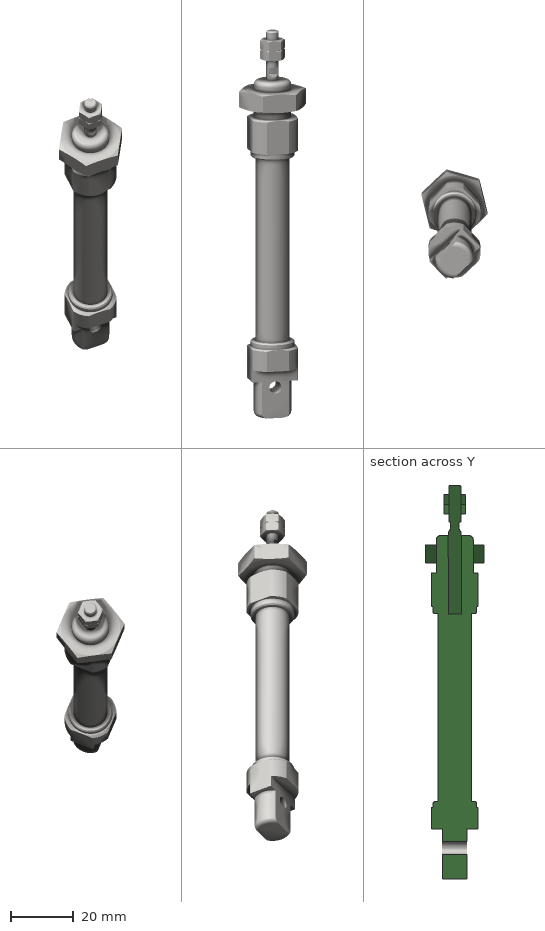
import cadquery as cq
import math


TIP_Z = 126.0
COLLAR_TOP_Z = 110.0
FRONT_CAP_TOP_Z = 98.0
FRONT_CAP_BOTTOM_Z = 87.1
FRONT_RIM_BOTTOM_Z = 84.9
REAR_RIM_TOP_Z = 24.9
REAR_CAP_TOP_Z = 23.0
REAR_CAP_BOTTOM_Z = 16.0
SHOULDER_BOTTOM_Z = 12.0
EYE_Z = 10.0

TUBE_DIAMETER = 11.0
CAP_WIDTH = 15.0
CAP_DIAMETER = 16.7
CAP_CHAMFER_ANGLE = 25.0
RIM_DIAMETER = 14.0
RIM_CHAMFER = 0.4
COLLAR_DIAMETER = 12.0
END_ROUNDING = 1.5
TAIL_THICKNESS = 8.0
EYE_DIAMETER = 4.0

ROD_DIAMETER = 4.0
ROD_TIP_DIAMETER = 3.24
WRENCH_WIDTH = 2.8
WRENCH_TOP_Z = 114.2
WRENCH_FLAT_BOTTOM_Z = 112.1
WRENCH_SLOPE_ANGLE = 60.0

MOUNTING_NUT_WIDTH = 19.0
MOUNTING_NUT_HEIGHT = 6.0
MOUNTING_NUT_BOTTOM_Z = 101.0
MOUNTING_NUT_CHAMFER_ANGLE = 15.0
ROD_NUT_WIDTH = 7.0
ROD_NUT_HEIGHT = 3.25
ROD_NUT_COUNT = 2
ROD_NUTS_BOTTOM_Z = 116.7
ROD_NUT_CHAMFER_ANGLE = 25.0


def cylinder(diameter, bottom, top):
    """Round bar on the Z axis between two levels."""
    return cq.Workplane("XY").workplane(offset=bottom).circle(diameter / 2).extrude(top - bottom)


def block(x_size, y_size, bottom, top):
    """Rectangular bar centred on the Z axis between two levels."""
    return cq.Workplane("XY").workplane(offset=bottom).rect(x_size, y_size).extrude(top - bottom)


def turned_blank(diameter, face_diameter, angle, bottom, top):
    """Round bar with its top edge chamfered down to a smaller end face."""
    radius = diameter / 2
    face_radius = face_diameter / 2
    drop = (radius - face_radius) * math.tan(math.radians(angle))
    return (
        cq.Workplane("XZ")
        .moveTo(0, bottom)
        .lineTo(radius, bottom)
        .lineTo(radius, top - drop)
        .lineTo(face_radius, top)
        .lineTo(0, top)
        .close()
        .revolve(360, (0, 0, 0), (0, 1, 0))
    )


def cap(bottom, top):
    """Square end cap whose corners are turned to a cylinder, chamfered at the top."""
    blank = turned_blank(CAP_DIAMETER, CAP_WIDTH, CAP_CHAMFER_ANGLE, bottom, top)
    return block(CAP_WIDTH, CAP_WIDTH, bottom, top).intersect(blank)


def hex_nut(width, bore, chamfer_angle, bottom, height):
    """Hexagon nut with flats facing +X and -X, and its corners chamfered at both ends."""
    top = bottom + height
    middle = bottom + height / 2
    corner_diameter = width / math.cos(math.radians(30))
    prism = (
        cq.Workplane("XY")
        .workplane(offset=bottom)
        .transformed(rotate=(0, 0, 30))
        .polygon(6, corner_diameter)
        .extrude(height)
    )
    top_blank = turned_blank(corner_diameter, width, chamfer_angle, bottom, top)
    bottom_blank = top_blank.mirror("XY", (0, 0, middle))
    return prism.intersect(top_blank).intersect(bottom_blank).cut(cylinder(bore, bottom, top))


def make_front_end():
    """Front cap with its rim below and the threaded mounting collar above."""
    rim = cylinder(RIM_DIAMETER, FRONT_RIM_BOTTOM_Z, FRONT_CAP_BOTTOM_Z).faces("<Z").chamfer(RIM_CHAMFER)
    collar = cylinder(COLLAR_DIAMETER, FRONT_CAP_TOP_Z, COLLAR_TOP_Z).faces(">Z").edges().fillet(END_ROUNDING)
    return cap(FRONT_CAP_BOTTOM_Z, FRONT_CAP_TOP_Z).union(rim).union(collar)


def make_rear_end():
    """Rear cap with its rim above and the eye tail below, both flattened on the X sides below the cap."""
    rim = cylinder(RIM_DIAMETER, REAR_CAP_TOP_Z, REAR_RIM_TOP_Z).faces(">Z").chamfer(RIM_CHAMFER)
    tail = cylinder(COLLAR_DIAMETER, 0, SHOULDER_BOTTOM_Z).faces("<Z").edges().fillet(END_ROUNDING)
    body = cap(SHOULDER_BOTTOM_Z, REAR_CAP_TOP_Z).union(rim).union(tail)
    outside_flats = block(CAP_WIDTH, CAP_WIDTH, 0, REAR_CAP_BOTTOM_Z).cut(
        block(TAIL_THICKNESS, CAP_WIDTH, 0, REAR_CAP_BOTTOM_Z)
    )
    eye = (
        cq.Workplane("YZ")
        .center(0, EYE_Z)
        .circle(EYE_DIAMETER / 2)
        .extrude(TAIL_THICKNESS, both=True)
    )
    return body.cut(outside_flats).cut(eye)


def make_housing():
    """Both ends joined by the tube, with a bore through the front end for the rod."""
    tube = cylinder(TUBE_DIAMETER, REAR_CAP_TOP_Z, FRONT_CAP_BOTTOM_Z)
    rod_bore = cylinder(ROD_DIAMETER, FRONT_RIM_BOTTOM_Z, COLLAR_TOP_Z)
    return tube.union(make_front_end()).union(make_rear_end()).cut(rod_bore)


def make_rod():
    """Piston rod with a chamfered tip and two wrench flats that slope out at their lower end."""
    tip_chamfer = (ROD_DIAMETER - ROD_TIP_DIAMETER) / 2
    rod = cylinder(ROD_DIAMETER, FRONT_RIM_BOTTOM_Z, TIP_Z).faces(">Z").chamfer(tip_chamfer)
    rod_radius = ROD_DIAMETER / 2
    flat_x = WRENCH_WIDTH / 2
    slope_drop = (rod_radius - flat_x) * math.tan(math.radians(WRENCH_SLOPE_ANGLE))
    slope_bottom_z = WRENCH_FLAT_BOTTOM_Z - slope_drop
    notch = (
        cq.Workplane("XZ")
        .moveTo(flat_x, WRENCH_TOP_Z)
        .lineTo(flat_x, WRENCH_FLAT_BOTTOM_Z)
        .lineTo(rod_radius, slope_bottom_z)
        .lineTo(rod_radius, WRENCH_TOP_Z)
        .close()
        .extrude(rod_radius, both=True)
    )
    return rod.cut(notch).cut(notch.mirror("YZ"))


def make_mounting_nut():
    """Large nut on the collar."""
    return hex_nut(
        MOUNTING_NUT_WIDTH,
        COLLAR_DIAMETER,
        MOUNTING_NUT_CHAMFER_ANGLE,
        MOUNTING_NUT_BOTTOM_Z,
        MOUNTING_NUT_HEIGHT,
    )


def make_rod_nut(bottom):
    """Small nut on the rod thread."""
    return hex_nut(ROD_NUT_WIDTH, ROD_DIAMETER, ROD_NUT_CHAMFER_ANGLE, bottom, ROD_NUT_HEIGHT)


housing = make_housing()
rod = make_rod()
mounting_nut = make_mounting_nut()

rod_nuts = []
for index in range(ROD_NUT_COUNT):
    rod_nuts.append(make_rod_nut(ROD_NUTS_BOTTOM_Z + index * ROD_NUT_HEIGHT))

result = cq.Compound.makeCompound(
    [housing.val(), rod.val(), mounting_nut.val(), *[nut.val() for nut in rod_nuts]]
)